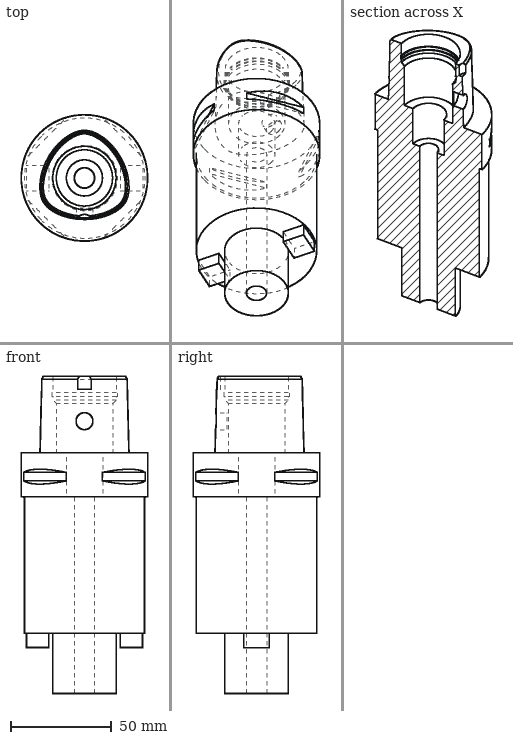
import cadquery as cq
import math

shank_length = 38.0
flange_height = 22.0
body_length = 68.0
pilot_length = 30.0
body_bottom = -(flange_height + body_length)
pilot_bottom = body_bottom - pilot_length

flange_diameter = 63.0
body_diameter = 60.0
pilot_diameter = 31.75
flange_root_radius = 0.5

base_radius = 22.2
taper_per_side = 1.0 / 40.0
lobe_height = 1.5
lobe_curve_points = 48
rim_chamfer_height = 1.5
rim_chamfer_width = 0.85

mouth_diameter = 31.5
mouth_depth = 11.8
main_bore_diameter = 28.0
main_bore_depth = shank_length
screw_bore_diameter = 18.0
screw_bore_depth = shank_length + flange_height
coolant_diameter = 10.0
groove_diameter = 32.5
groove_top_depth = 7.9
groove_bottom_depth = 10.0

notch_radius = 4.5
notch_center_y = -22.65
notch_depth = 6.4
pocket_diameter = 8.4
pocket_depth_from_rim = 22.4
pocket_floor_y = -14.8

slot_count = 4
slot_start_angle = 45.0
slot_level = -12.0
slot_floor_distance = 27.7
slot_floor_width = 4.2
slot_flank_angle = 23.0

key_inner_x = 17.7
key_outer_x = 28.9
key_width = 12.7
key_height = 7.0


def cylinder(diameter, bottom, top):
    """Solid cylinder on the Z axis between two levels."""
    return cq.Workplane("XY").workplane(offset=bottom).circle(diameter / 2).extrude(top - bottom)


def lobed_point(radius, turn):
    """Point on the constant-width three-lobed curve, with one lobe toward +Y; turn runs 0 to 1."""
    angle = 2 * math.pi * turn
    lobe_angle = 3 * (angle - math.pi / 2)
    reach = radius + lobe_height * math.cos(lobe_angle)
    slope = -3 * lobe_height * math.sin(lobe_angle)
    x = reach * math.cos(angle) - slope * math.sin(angle)
    y = reach * math.sin(angle) + slope * math.cos(angle)
    return x, y


def lobed_wire(radius, level):
    """Closed lobed outline at the given level."""
    points = []
    for index in range(lobe_curve_points):
        x, y = lobed_point(radius, index / lobe_curve_points)
        points.append(cq.Vector(x, y, level))
    return cq.Wire.assembleEdges([cq.Edge.makeSpline(points, periodic=True)])


def lobed_frustum(bottom, bottom_radius, top, top_radius):
    """Straight-sided transition between two parallel lobed sections."""
    outlines = [lobed_wire(bottom_radius, bottom), lobed_wire(top_radius, top)]
    return cq.Workplane("XY").newObject([cq.Solid.makeLoft(outlines, True)])


def shank():
    """Tapered lobed shank with a chamfered rim."""
    chamfer_start = shank_length - rim_chamfer_height
    chamfer_radius = base_radius - taper_per_side * chamfer_start
    rim_radius = chamfer_radius - rim_chamfer_width
    taper = lobed_frustum(0, base_radius, chamfer_start, chamfer_radius)
    rim = lobed_frustum(chamfer_start, chamfer_radius, shank_length, rim_radius)
    return taper.union(rim)


def turned_outside():
    """Flange, body and pilot, with a small fillet where the body meets the flange."""
    flange = cylinder(flange_diameter, -flange_height, 0)
    body = cylinder(body_diameter, body_bottom, -flange_height)
    pilot = cylinder(pilot_diameter, pilot_bottom, body_bottom)
    stepped = flange.union(body)
    stepped = stepped.edges(cq.selectors.RadiusNthSelector(0)).edges(">Z").fillet(flange_root_radius)
    return stepped.union(pilot)


def bore():
    """Revolved cutter for the stepped through bore, its conical seat and its groove."""
    mouth_radius = mouth_diameter / 2
    main_radius = main_bore_diameter / 2
    screw_radius = screw_bore_diameter / 2
    coolant_radius = coolant_diameter / 2
    groove_radius = groove_diameter / 2
    seat_top = shank_length - mouth_depth
    seat_bottom = seat_top - (mouth_radius - main_radius)
    main_floor = shank_length - main_bore_depth
    screw_floor = shank_length - screw_bore_depth
    groove_top = shank_length - groove_top_depth
    groove_bottom = shank_length - groove_bottom_depth
    profile = [
        (0, shank_length),
        (mouth_radius, shank_length),
        (mouth_radius, groove_top),
        (groove_radius, groove_top),
        (groove_radius, groove_bottom),
        (mouth_radius, groove_bottom),
        (mouth_radius, seat_top),
        (main_radius, seat_bottom),
        (main_radius, main_floor),
        (screw_radius, main_floor),
        (screw_radius, screw_floor),
        (coolant_radius, screw_floor),
        (coolant_radius, pilot_bottom),
        (0, pilot_bottom),
    ]
    return cq.Workplane("XZ").polyline(profile).close().revolve(360, (0, 0, 0), (0, 1, 0))


def rim_notch():
    """Vertical round cutter for the notch in the shank rim."""
    return (
        cq.Workplane("XY")
        .workplane(offset=shank_length - notch_depth)
        .center(0, notch_center_y)
        .circle(notch_radius)
        .extrude(notch_depth)
    )


def side_pocket():
    """Flat-bottomed round pocket cutter entering the shank from -Y."""
    return (
        cq.Workplane("XZ", origin=(0, pocket_floor_y, shank_length - pocket_depth_from_rim))
        .circle(pocket_diameter / 2)
        .extrude(flange_diameter / 2 + pocket_floor_y)
    )


def gripper_slot(angle):
    """Flat-floored slot cutter with flared flanks, facing outward at the given angle."""
    slot_mouth = flange_diameter / 2
    flare = (slot_mouth - slot_floor_distance) * math.tan(math.radians(slot_flank_angle))
    floor_half = slot_floor_width / 2
    mouth_half = floor_half + flare
    section = [
        (slot_floor_distance, slot_level - floor_half),
        (slot_mouth, slot_level - mouth_half),
        (slot_mouth, slot_level + mouth_half),
        (slot_floor_distance, slot_level + floor_half),
    ]
    cutter = cq.Workplane("XZ").polyline(section).close().extrude(flange_diameter / 2, both=True)
    return cutter.rotate((0, 0, 0), (0, 0, 1), angle)


def drive_key(side):
    """Rectangular key under the body; side is +1 for +X and -1 for -X."""
    center_x = side * (key_inner_x + key_outer_x) / 2
    return (
        cq.Workplane("XY")
        .workplane(offset=body_bottom)
        .center(center_x, 0)
        .rect(key_outer_x - key_inner_x, key_width)
        .extrude(-key_height)
    )


result = turned_outside().union(shank())
for side in (-1, 1):
    result = result.union(drive_key(side))
for index in range(slot_count):
    result = result.cut(gripper_slot(slot_start_angle + index * 360 / slot_count))
result = result.cut(bore()).cut(rim_notch()).cut(side_pocket())